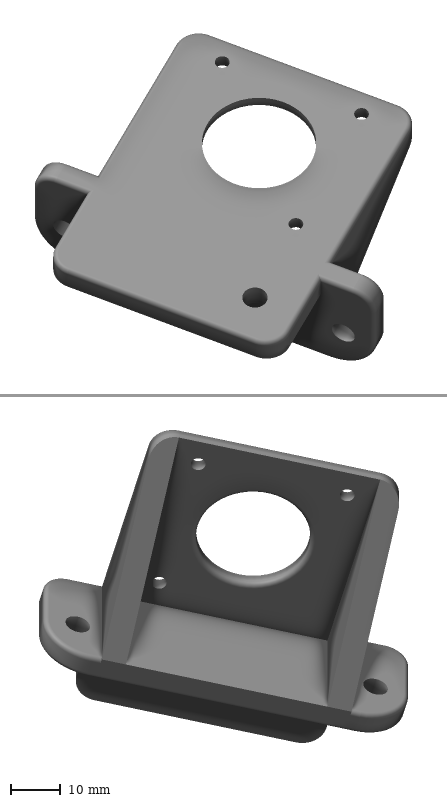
import cadquery as cq

plate_width = 52.0
plate_length = 67.0
plate_thickness = 5.0
corner_radius = 5.0
edge_round = 1.0

flange_width = 76.0
flange_height = 25.0
flange_thickness = 5.0
flange_lower_radius = 10.0
flange_setback = 20.0
flange_front_y = -plate_length / 2 + flange_setback
flange_back_y = flange_front_y + flange_thickness

gusset_thickness = 5.0
bay_floor_thickness = 3.0
bay_width = plate_width - 2 * gusset_thickness
bay_length = plate_length / 2 - flange_back_y
motor_y = flange_back_y + bay_length / 2

boss_diameter = 23.0
motor_screw_diameter = 3.0
motor_screw_offset = 15.5
fixing_diameter = 5.1
plate_fixing_x = 16.0
plate_fixing_from_front = 10.0
flange_fixing_x = 31.0
flange_fixing_depth = 15.0


def plate_blank(depth):
    """Rounded rectangle of the plate outline, hanging down from Z = 0."""
    return (
        cq.Workplane("XY")
        .rect(plate_width, plate_length)
        .extrude(-depth)
        .edges("|Z")
        .fillet(corner_radius)
        .faces(">Z")
        .edges()
        .fillet(edge_round)
    )


def gusset_profile():
    """Side profile of the sloping gussets, spanning the whole plate width."""
    rear_y = plate_length / 2
    return (
        cq.Workplane("YZ")
        .moveTo(flange_back_y - edge_round, 0)
        .lineTo(rear_y, 0)
        .lineTo(rear_y, -bay_floor_thickness)
        .lineTo(flange_back_y, -flange_height)
        .lineTo(flange_back_y - edge_round, -flange_height)
        .close()
        .extrude(plate_width / 2, both=True)
    )


def flange():
    """Upright flange with rounded corners and softened front and back rims."""
    return (
        cq.Workplane("XY")
        .box(flange_width, flange_thickness, flange_height, centered=(True, False, False))
        .translate((0, flange_front_y, -flange_height))
        .edges("|Y and >Z")
        .fillet(corner_radius)
        .edges("|Y and <Z")
        .fillet(flange_lower_radius)
        .faces("<Y or >Y")
        .edges()
        .fillet(edge_round)
    )


def motor_bay():
    """Space below the thinned plate, between the gussets and behind the flange."""
    return (
        cq.Workplane("XY")
        .box(bay_width, bay_length, flange_height, centered=(True, False, False))
        .translate((0, flange_back_y, -bay_floor_thickness - flange_height))
    )


def plate_holes(points, diameter):
    """Vertical drills through the plate."""
    return cq.Workplane("XY").pushPoints(points).circle(diameter / 2).extrude(-plate_thickness)


def flange_holes():
    """Two drills through the flange, one in each ear."""
    points = [(side * flange_fixing_x, -flange_fixing_depth) for side in (-1, 1)]
    return (
        cq.Workplane("XZ", origin=(0, flange_back_y, 0))
        .pushPoints(points)
        .circle(fixing_diameter / 2)
        .extrude(flange_thickness)
    )


def boss_hole():
    """Motor boss opening, flaring out in a round where it meets the bay."""
    radius = boss_diameter / 2
    flare_radius = radius + edge_round
    flare_top = -bay_floor_thickness + edge_round
    return (
        cq.Workplane("XZ")
        .lineTo(radius, 0)
        .lineTo(radius, flare_top)
        .radiusArc((flare_radius, -bay_floor_thickness), -edge_round)
        .lineTo(0, -bay_floor_thickness)
        .close()
        .revolve(360, (0, 0, 0), (0, 1, 0))
        .translate((0, motor_y, 0))
    )


gussets = plate_blank(flange_height).intersect(gusset_profile())

front_plate_length = flange_back_y + plate_length / 2
front_region = (
    cq.Workplane("XY")
    .box(plate_width, front_plate_length, plate_thickness, centered=(True, False, False))
    .translate((0, -plate_length / 2, -plate_thickness))
)
front_plate = plate_blank(plate_thickness).intersect(front_region)

motor_screws = [
    (x_side * motor_screw_offset, motor_y + y_side * motor_screw_offset)
    for x_side, y_side in ((-1, 1), (1, 1), (1, -1))
]
plate_fixing = (plate_fixing_x, -plate_length / 2 + plate_fixing_from_front)

result = (
    front_plate
    .union(gussets)
    .cut(motor_bay())
    .union(flange())
    .cut(boss_hole())
    .cut(plate_holes(motor_screws, motor_screw_diameter))
    .cut(plate_holes([plate_fixing], fixing_diameter))
    .cut(flange_holes())
)